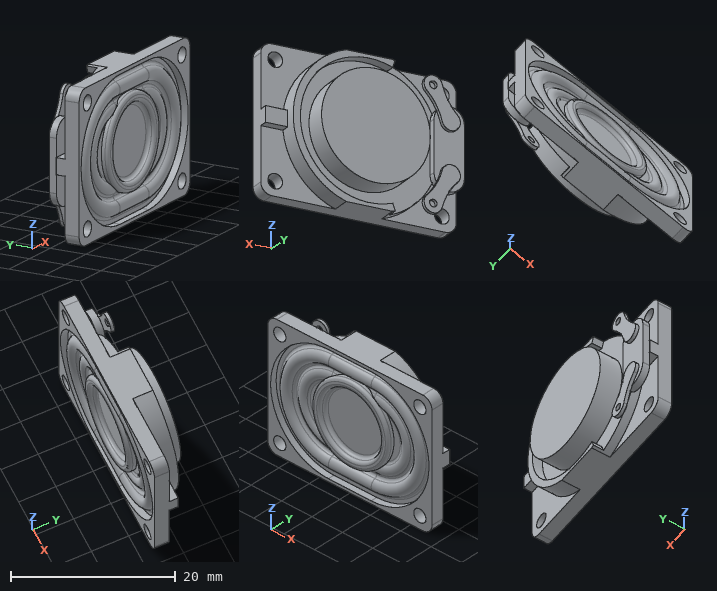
import cadquery as cq
import math


plate_length = 27.0
plate_height = 20.0
plate_thickness = 2.0
plate_corner_radius = 1.5
screw_hole_diameter = 2.0
screw_hole_x = 11.5
screw_hole_z = 8.0

stadium_half_straight = 3.5
recess_radius = 9.5
recess_depth = 1.0
roll_radius = 1.0
roll_foot_radius = roll_radius / 2
outer_roll_crown = recess_depth
inner_roll_crown = recess_depth / 2
outer_roll_path_radius = 7.5
inner_roll_path_radius = 5.0
cap_radius = 6.35
cap_floor_radius = 4.45
cap_edge_radius = recess_depth / 2

basket_radius = 10.5
basket_rear = 3.2
tab_height = 2.2

deck_rear = 4.7
deck_opening_half_angle = 70.0
magnet_pocket_radius = 9.5
magnet_radius = 7.5
magnet_rear = 6.4

board_end_radius = 2.1
board_end_z = 3.5
board_center_x = -11.3
board_rear = 4.2
tag_end_radius = 1.27
tag_length = 4.95
tag_angle = 60.0
tag_waist_radius = 8.0
tag_hole_diameter = 1.0


def layer(depth):
    """Sketch plane facing the rear; its local x is -X and its local y is Z."""
    return cq.Workplane("XZ", origin=(0, depth, 0)).transformed(rotate=(0, 180, 0))


def block(x_min, x_max, height, front, rear):
    """Box centred on Z = 0."""
    size = (x_max - x_min, rear - front, height)
    return cq.Workplane("XY").box(*size).translate(((x_min + x_max) / 2, (front + rear) / 2, 0))


def disc(radius, front, rear):
    """Cylinder on the Y axis."""
    return layer(front).circle(radius).extrude(rear - front)


def roll(path_radius, crown_height):
    """Rounded bead along a stadium, blended into the recess floor by foot fillets.

    The reach is its half-width from the crest to the outer end of a foot fillet.
    """
    crown_depth = recess_depth - crown_height
    center_distance = roll_radius + roll_foot_radius
    reach = math.sqrt(center_distance**2 - (center_distance - crown_height) ** 2)
    share = roll_radius / center_distance
    flank_offset = share * reach
    flank_depth = crown_depth + share * crown_height
    profile = (
        cq.Workplane("YZ", origin=(stadium_half_straight, 0, 0))
        .moveTo(recess_depth, path_radius - reach)
        .radiusArc((flank_depth, path_radius - flank_offset), -roll_foot_radius)
        .threePointArc(
            (crown_depth, path_radius),
            (flank_depth, path_radius + flank_offset),
        )
        .radiusArc((recess_depth, path_radius + reach), -roll_foot_radius)
        .lineTo(plate_thickness, path_radius + reach)
        .lineTo(plate_thickness, path_radius - reach)
        .close()
    )
    end = profile.revolve(180, (0, 0, 0), (1, 0, 0))
    straight = profile.toPending().extrude(-2 * stadium_half_straight)
    return end.union(end.mirror("YZ")).union(straight).union(straight.mirror("XY"))


def mounting_plate():
    plate = block(-plate_length / 2, plate_length / 2, plate_height, 0, plate_thickness)
    plate = plate.edges("|Y").fillet(plate_corner_radius)
    screw_holes = (
        layer(0)
        .rect(2 * screw_hole_x, 2 * screw_hole_z, forConstruction=True)
        .vertices()
        .circle(screw_hole_diameter / 2)
        .extrude(plate_thickness)
    )
    recess = (
        layer(0)
        .slot2D(2 * (stadium_half_straight + recess_radius), 2 * recess_radius)
        .extrude(recess_depth)
    )
    return plate.cut(screw_holes).cut(recess)


def dust_cap():
    """Round cap with a rounded rim around a flat floor level with the recess floor."""
    rim_inner_radius = cap_floor_radius + 2 * cap_edge_radius
    return (
        cq.Workplane("XY")
        .moveTo(0, recess_depth)
        .lineTo(cap_floor_radius, recess_depth)
        .radiusArc((cap_floor_radius + cap_edge_radius, cap_edge_radius), cap_edge_radius)
        .radiusArc((rim_inner_radius, 0), -cap_edge_radius)
        .lineTo(cap_radius - cap_edge_radius, 0)
        .radiusArc((cap_radius, cap_edge_radius), -cap_edge_radius)
        .lineTo(cap_radius, plate_thickness)
        .lineTo(0, plate_thickness)
        .close()
        .revolve(360, (0, 0, 0), (0, 1, 0))
    )


def diaphragm():
    outer_roll = roll(outer_roll_path_radius, outer_roll_crown)
    inner_roll = roll(inner_roll_path_radius, inner_roll_crown)
    rolls = outer_roll.union(inner_roll)
    cap_clearance = disc(cap_radius - cap_edge_radius, 0, recess_depth)
    return rolls.cut(cap_clearance).union(dust_cap())


def basket():
    """Disc trimmed level with the plate's long sides, plus the two side tabs."""
    body = disc(basket_radius, plate_thickness, basket_rear)
    body = body.intersect(
        block(-basket_radius, basket_radius, plate_height, plate_thickness, basket_rear)
    )
    tabs = block(-plate_length / 2, plate_length / 2, tab_height, plate_thickness, basket_rear)
    return body.union(tabs)


def deck():
    """Rear step of the basket, hollow around the magnet, with a sector open toward -X."""
    thickness = deck_rear - basket_rear
    body = disc(basket_radius, basket_rear, deck_rear)
    body = body.intersect(
        block(-basket_radius, basket_radius, plate_height, basket_rear, deck_rear)
    )
    far_x = basket_radius
    far_z = far_x * math.tan(math.radians(deck_opening_half_angle))
    opening = (
        layer(basket_rear)
        .polyline([(0, 0), (far_x, far_z), (far_x, -far_z)])
        .close()
        .extrude(thickness)
    )
    return body.cut(opening).cut(disc(magnet_pocket_radius, basket_rear, deck_rear))


def terminal_board():
    return (
        layer(basket_rear)
        .center(-board_center_x, 0)
        .slot2D(2 * (board_end_z + board_end_radius), 2 * board_end_radius, 90)
        .extrude(board_rear - basket_rear)
    )


def solder_tag():
    """Waisted tag leaning inward from the board's upper end, with an eyelet at its tip."""
    half_length = tag_length / 2
    thickness = deck_rear - board_rear
    blend = tag_end_radius / (tag_end_radius + tag_waist_radius)
    waist_center_y = math.sqrt((tag_end_radius + tag_waist_radius) ** 2 - half_length**2)
    joint_x = half_length * (1 - blend)
    joint_y = waist_center_y * blend
    waist_y = waist_center_y - tag_waist_radius
    tip_x = half_length + tag_end_radius
    outline = (
        cq.Workplane("XY")
        .moveTo(-joint_x, joint_y)
        .threePointArc((0, waist_y), (joint_x, joint_y))
        .threePointArc((tip_x, 0), (joint_x, -joint_y))
        .threePointArc((0, -waist_y), (-joint_x, -joint_y))
        .threePointArc((-tip_x, 0), (-joint_x, joint_y))
        .close()
        .extrude(thickness)
    )
    eyelet = cq.Workplane("XY").center(half_length, 0).circle(tag_hole_diameter / 2).extrude(thickness)
    return (
        outline.cut(eyelet)
        .translate((half_length, 0, 0))
        .rotate((0, 0, 0), (0, 0, 1), tag_angle)
        .rotate((0, 0, 0), (1, 0, 0), 90)
        .translate((board_center_x, deck_rear, board_end_z))
    )


upper_tag = solder_tag()
result = mounting_plate()
for piece in (
    diaphragm(),
    basket(),
    deck(),
    disc(magnet_radius, basket_rear, magnet_rear),
    terminal_board(),
    upper_tag,
    upper_tag.mirror("XY"),
):
    result = result.union(piece)